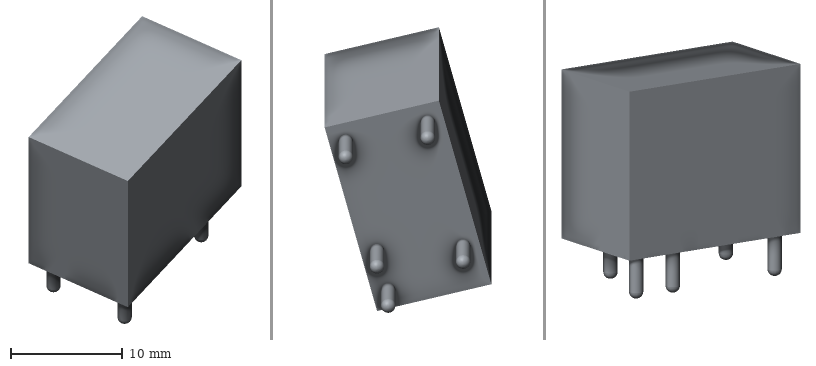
import cadquery as cq

total_height = 19.6
housing_width = 10.6
housing_depth = 18.8
pin_length = 4.0
housing_height = total_height - pin_length

pin_diameter = 1.3
tip_rounding = 0.63
pin_row_x = 3.8
end_pin_y = 7.6
left_contact_y = 3.59
right_contact_y = 5.08

pin_positions = [
    (-pin_row_x, -end_pin_y),
    (-pin_row_x, left_contact_y),
    (-pin_row_x, end_pin_y),
    (pin_row_x, -end_pin_y),
    (pin_row_x, right_contact_y),
]


def make_housing():
    """Plain box standing on the plane z = 0."""
    return cq.Workplane("XY").box(
        housing_width, housing_depth, housing_height, centered=(True, True, False)
    )


def make_pin(x, y):
    """Round pin hanging from the housing underside, with a rounded lower tip."""
    return (
        cq.Workplane("XY")
        .center(x, y)
        .circle(pin_diameter / 2)
        .extrude(-pin_length)
        .faces("<Z")
        .edges()
        .fillet(tip_rounding)
    )


housing = make_housing()
pins = [make_pin(x, y) for x, y in pin_positions]

result = cq.Compound.makeCompound([housing.val(), *[pin.val() for pin in pins]])